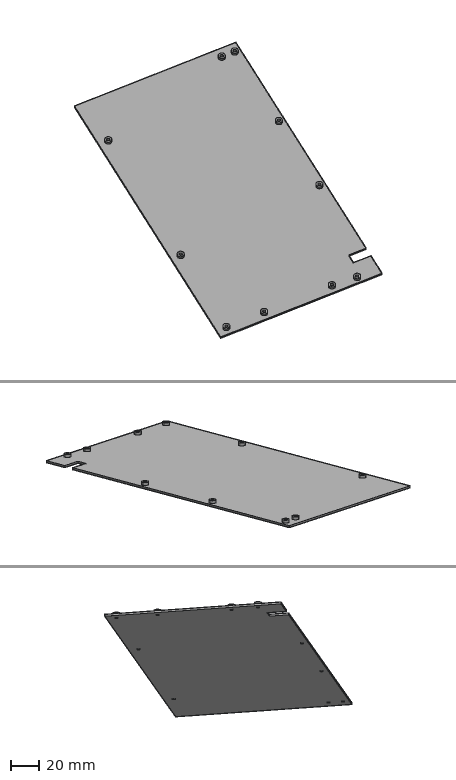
import cadquery as cq

plate_length = 230.0
plate_width = 127.0
plate_thickness = 1.5

notch_left = 205.0
notch_width = 7.5
notch_depth = 13.75

standoff_diameter = 5.0
standoff_height = 2.0
hole_diameter = 2.2

left_column = 7.75
right_column = 224.5
front_row = 7.25
back_row = 122.25

standoff_centers = [
    (left_column, back_row),
    (77.0, back_row),
    (140.75, back_row),
    (left_column, 112.0),
    (225.75, 109.5),
    (right_column, 90.25),
    (right_column, 37.0),
    (right_column, front_row),
    (152.75, front_row),
    (38.75, front_row),
]


def make_plate():
    """Flat plate with its front left bottom corner at the origin."""
    return cq.Workplane("XY").box(plate_length, plate_width, plate_thickness, centered=False)


def make_notch():
    """Rectangular slot open to the back edge of the plate."""
    notch = cq.Workplane("XY").box(notch_width, notch_depth, plate_thickness, centered=False)
    return notch.translate((notch_left, plate_width - notch_depth, 0))


def make_cylinders(diameter, bottom, height):
    """One upright cylinder at every standoff center."""
    centers = cq.Workplane("XY").workplane(offset=bottom).pushPoints(standoff_centers)
    return centers.circle(diameter / 2).extrude(height)


standoffs = make_cylinders(standoff_diameter, plate_thickness, standoff_height)
holes = make_cylinders(hole_diameter, 0, plate_thickness + standoff_height)

result = make_plate().cut(make_notch()).union(standoffs).cut(holes)